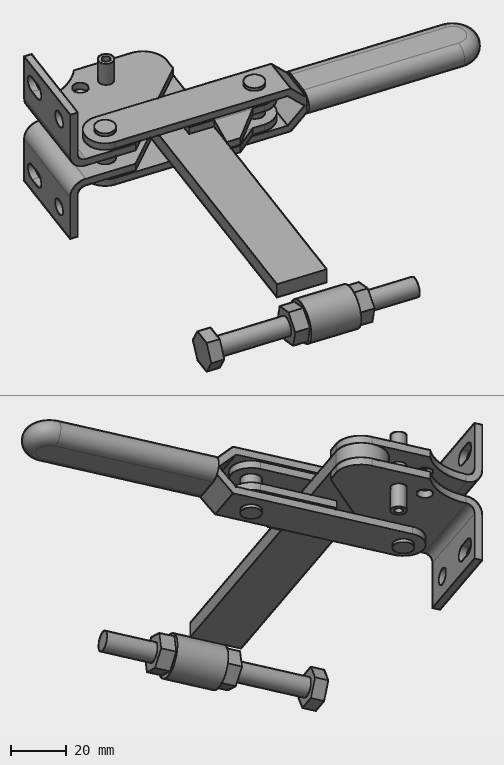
import cadquery as cq
import math


SHEET = 3.0
BAR_HALF = 3.0
PLATE_OUTER = BAR_HALF + SHEET
LEG_GAP = 0.7
LEG_INNER = PLATE_OUTER + LEG_GAP
LEG_OUTER = LEG_INNER + SHEET
RIVET_HALF = 11.2
PIN_HALF = 15.7

BAR_HEIGHT = 20.0
BAR_BOTTOM = 19.8
BAR_TOP = BAR_BOTTOM + BAR_HEIGHT
BAR_RIGHT = 100.2

HANDLE_WIDTH = 16.0
HANDLE_HALF = HANDLE_WIDTH / 2
FORK_SHOULDER = 70.5
LEG_LEAN = 45.0
GRIP_BOTTOM = 76.9
GRIP_WIDTH = 20.0
GRIP_THICKNESS = 9.8
GRIP_END = 139.1

RIVET_DIAMETER = 8.0
UPPER_RIVET_Y = 59.8

BASE_LEFT = -40.0
BASE_RIGHT = HANDLE_HALF
BASE_BOTTOM = -17.9
BASE_CORNER = 9.6
BASE_SIDE_BOTTOM = 7.1
BASE_SLOPE_START = -25.4
BASE_SLOPE_END = 8.3
FLANGE_LEFT = -29.7
FLANGE_SPAN = 57.0
FLANGE_REACH = FLANGE_SPAN / 2
BEND_INNER = 3.2
BEND_OUTER = BEND_INNER + SHEET
NECK_RADIUS = 22.0
HOLE_Z = 20.1
MOUNT_HOLE = 6.5
ROUND_HOLE_X = -1.0
SLOT_X = -21.1
SLOT_LENGTH = 11.0

PIN_X = -29.9
PIN_Y = 15.0
PIN_DIAMETER = 5.9
PIN_BORE = 3.2
SPARE_HOLE_Y = 4.7

CHEEK_BOTTOM = BAR_BOTTOM + BAR_HEIGHT / 2
LIP_TIP = 18.5
LIP_TIP_INNER = 0.25
LIP_TIP_OUTER = LIP_TIP_INNER + SHEET
LIP_CORNER_TOP = 55.3
LIP_CORNER_SIDE = 45.1

SPINDLE_X = 120.0
ROD_DIAMETER = 7.8
ROD_TOP = 65.4
SLEEVE_DIAMETER = 16.9
NUT_HEIGHT = 5.9
HEX_DIAMETER = 15.2
NUT_TURN = 17.0
HEAD_TOP = -14.7
HEAD_BOTTOM = -20.0


def cylinder(x, y, diameter, half_length):
    """A round along Z, centred on the middle plane."""
    return (
        cq.Workplane("XY", origin=(x, y, -half_length))
        .circle(diameter / 2)
        .extrude(2 * half_length)
    )


def slab(outline, z_from, z_to):
    """A closed XY outline, thickened from one height to another."""
    return outline.extrude(z_to - z_from).translate((0, 0, z_from))


def mirrored(body):
    """The same body on the other side of the middle plane."""
    return body.mirror("XY")


def base_plate():
    neck_x = FLANGE_LEFT - NECK_RADIUS
    neck_y = BASE_SIDE_BOTTOM - math.sqrt(NECK_RADIUS**2 - (BASE_LEFT - neck_x) ** 2)
    half_angle = math.atan2(BASE_SIDE_BOTTOM - neck_y, BASE_LEFT - neck_x) / 2
    neck_middle = (
        neck_x + NECK_RADIUS * math.cos(half_angle),
        neck_y + NECK_RADIUS * math.sin(half_angle),
    )
    corner_middle = BASE_CORNER * (1 - math.sqrt(0.5))
    outline = (
        cq.Workplane("XY")
        .moveTo(BASE_RIGHT, BASE_BOTTOM)
        .lineTo(BASE_RIGHT, BASE_SLOPE_END)
        .lineTo(BASE_SLOPE_START, BAR_TOP)
        .lineTo(BASE_LEFT + BASE_CORNER, BAR_TOP)
        .threePointArc(
            (BASE_LEFT + corner_middle, BAR_TOP - corner_middle),
            (BASE_LEFT, BAR_TOP - BASE_CORNER),
        )
        .lineTo(BASE_LEFT, BASE_SIDE_BOTTOM)
        .threePointArc(neck_middle, (FLANGE_LEFT, neck_y))
        .lineTo(FLANGE_LEFT, BASE_BOTTOM)
        .close()
    )
    section = (
        cq.Workplane("YZ", origin=(BASE_LEFT, 0, 0))
        .moveTo(BAR_TOP, BAR_HALF)
        .lineTo(BASE_BOTTOM + BEND_OUTER, BAR_HALF)
        .radiusArc((BASE_BOTTOM, BAR_HALF + BEND_OUTER), BEND_OUTER)
        .lineTo(BASE_BOTTOM, FLANGE_REACH)
        .lineTo(BASE_BOTTOM + SHEET, FLANGE_REACH)
        .lineTo(BASE_BOTTOM + SHEET, PLATE_OUTER + BEND_INNER)
        .radiusArc((BASE_BOTTOM + BEND_OUTER, PLATE_OUTER), -BEND_INNER)
        .lineTo(BAR_TOP, PLATE_OUTER)
        .close()
        .extrude(BASE_RIGHT - BASE_LEFT)
    )
    plate = slab(outline, BAR_HALF, FLANGE_REACH).intersect(section)

    mount_holes = (
        cq.Workplane("XZ", origin=(0, BASE_BOTTOM + SHEET, 0))
        .center(ROUND_HOLE_X, HOLE_Z)
        .circle(MOUNT_HOLE / 2)
        .center(SLOT_X - ROUND_HOLE_X, 0)
        .slot2D(SLOT_LENGTH, MOUNT_HOLE)
        .extrude(SHEET)
    )
    return (
        plate.cut(mount_holes)
        .cut(cylinder(0, 0, RIVET_DIAMETER, PIN_HALF))
        .cut(cylinder(PIN_X, PIN_Y, PIN_DIAMETER, PIN_HALF))
        .cut(cylinder(PIN_X, SPARE_HOLE_Y, PIN_DIAMETER, PIN_HALF))
    )


def bar_cheek():
    """Sheet beside the bar with a lip that is bent in towards the middle plane."""
    web = slab(
        cq.Workplane("XY")
        .moveTo(-HANDLE_HALF, CHEEK_BOTTOM)
        .lineTo(HANDLE_HALF, CHEEK_BOTTOM)
        .lineTo(HANDLE_HALF, UPPER_RIVET_Y)
        .threePointArc((0, UPPER_RIVET_Y + HANDLE_HALF), (-HANDLE_HALF, UPPER_RIVET_Y))
        .close(),
        BAR_HALF,
        PLATE_OUTER,
    )
    lip_section = (
        cq.Workplane("XZ", origin=(0, LIP_CORNER_TOP, 0))
        .moveTo(HANDLE_HALF, BAR_HALF)
        .lineTo(LIP_TIP, LIP_TIP_INNER)
        .lineTo(LIP_TIP, LIP_TIP_OUTER)
        .lineTo(HANDLE_HALF, PLATE_OUTER)
        .close()
        .extrude(LIP_CORNER_TOP - BAR_TOP)
    )
    lip_outline = (
        cq.Workplane("XY")
        .moveTo(HANDLE_HALF, BAR_TOP)
        .lineTo(LIP_TIP, BAR_TOP)
        .lineTo(LIP_TIP, LIP_CORNER_SIDE)
        .lineTo(HANDLE_HALF, LIP_CORNER_TOP)
        .close()
    )
    return web.union(lip_section.intersect(slab(lip_outline, 0, PLATE_OUTER)))


def clamping_bar():
    end_radius = BAR_HEIGHT / 2
    bar = slab(
        cq.Workplane("XY")
        .moveTo(BAR_RIGHT, BAR_BOTTOM)
        .lineTo(BAR_RIGHT, BAR_TOP)
        .lineTo(BASE_LEFT + end_radius, BAR_TOP)
        .threePointArc((BASE_LEFT, BAR_TOP - end_radius), (BASE_LEFT + end_radius, BAR_BOTTOM))
        .close(),
        -BAR_HALF,
        BAR_HALF,
    )
    cheek = bar_cheek()
    return (
        bar.union(cheek)
        .union(mirrored(cheek))
        .cut(cylinder(0, UPPER_RIVET_Y, RIVET_DIAMETER, PIN_HALF))
    )


def handle_leg():
    """One side of the fork: a straight strip that leans in to the grip."""
    slope = math.tan(math.radians(LEG_LEAN))
    inner_setback = SHEET * math.tan(math.radians(LEG_LEAN / 2))
    section = (
        cq.Workplane("YZ", origin=(-HANDLE_HALF, 0, 0))
        .moveTo(-HANDLE_HALF, LEG_INNER)
        .lineTo(FORK_SHOULDER - inner_setback, LEG_INNER)
        .lineTo(FORK_SHOULDER - inner_setback + LEG_INNER / slope, 0)
        .lineTo(GRIP_BOTTOM, 0)
        .lineTo(GRIP_BOTTOM, LEG_OUTER - (GRIP_BOTTOM - FORK_SHOULDER) * slope)
        .lineTo(FORK_SHOULDER, LEG_OUTER)
        .lineTo(-HANDLE_HALF, LEG_OUTER)
        .close()
        .extrude(HANDLE_WIDTH)
    )
    outline = (
        cq.Workplane("XY")
        .moveTo(-HANDLE_HALF, GRIP_BOTTOM)
        .lineTo(-HANDLE_HALF, 0)
        .threePointArc((0, -HANDLE_HALF), (HANDLE_HALF, 0))
        .lineTo(HANDLE_HALF, GRIP_BOTTOM)
        .close()
    )
    return section.intersect(slab(outline, 0, LEG_OUTER))


def handle_grip():
    """A flat bar with rounded sides, whose end turns about the Z axis."""
    half_width = GRIP_WIDTH / 2
    half_thickness = GRIP_THICKNESS / 2
    shank = (
        cq.Workplane("XZ", origin=(0, GRIP_END, 0))
        .slot2D(GRIP_WIDTH, GRIP_THICKNESS)
        .extrude(GRIP_END - GRIP_BOTTOM)
    )
    end = (
        cq.Workplane("XZ", origin=(0, GRIP_END, 0))
        .moveTo(0, -half_thickness)
        .lineTo(half_width - half_thickness, -half_thickness)
        .threePointArc((half_width, 0), (half_width - half_thickness, half_thickness))
        .lineTo(0, half_thickness)
        .close()
        .revolve(180, (0, 0, 0), (0, 1, 0))
    )
    return shank.union(end)


def handle():
    leg = handle_leg()
    return (
        handle_grip()
        .union(leg)
        .union(mirrored(leg))
        .cut(cylinder(0, 0, RIVET_DIAMETER, PIN_HALF))
        .cut(cylinder(0, UPPER_RIVET_Y, RIVET_DIAMETER, PIN_HALF))
    )


def rivet(y):
    return cylinder(0, y, RIVET_DIAMETER, RIVET_HALF)


def stop_pin():
    return cylinder(PIN_X, PIN_Y, PIN_DIAMETER, PIN_HALF).cut(
        cylinder(PIN_X, PIN_Y, PIN_BORE, PIN_HALF)
    )


def along_spindle(y_top):
    """A plane across the spindle; extruding from it goes down along -Y."""
    return cq.Workplane("XZ", origin=(SPINDLE_X, y_top, 0))


def spindle():
    """Bolt with a sleeve between two nuts."""
    rod = along_spindle(ROD_TOP).circle(ROD_DIAMETER / 2).extrude(ROD_TOP - HEAD_TOP)
    head = along_spindle(HEAD_TOP).polygon(6, HEX_DIAMETER).extrude(HEAD_TOP - HEAD_BOTTOM)
    sleeve = along_spindle(BAR_TOP).circle(SLEEVE_DIAMETER / 2).extrude(BAR_HEIGHT)
    body = rod.union(head).union(sleeve)
    for nut_top in (BAR_TOP + NUT_HEIGHT, BAR_BOTTOM):
        nut = (
            along_spindle(nut_top)
            .transformed(rotate=(0, 0, NUT_TURN))
            .polygon(6, HEX_DIAMETER)
            .extrude(NUT_HEIGHT)
        )
        body = body.union(nut)
    return body


upper_plate = base_plate()
lower_plate = mirrored(upper_plate)
rivets = [rivet(y).val() for y in (0, UPPER_RIVET_Y)]

result = cq.Compound.makeCompound([
    upper_plate.val(),
    lower_plate.val(),
    clamping_bar().val(),
    handle().val(),
    *rivets,
    stop_pin().val(),
    spindle().val(),
])